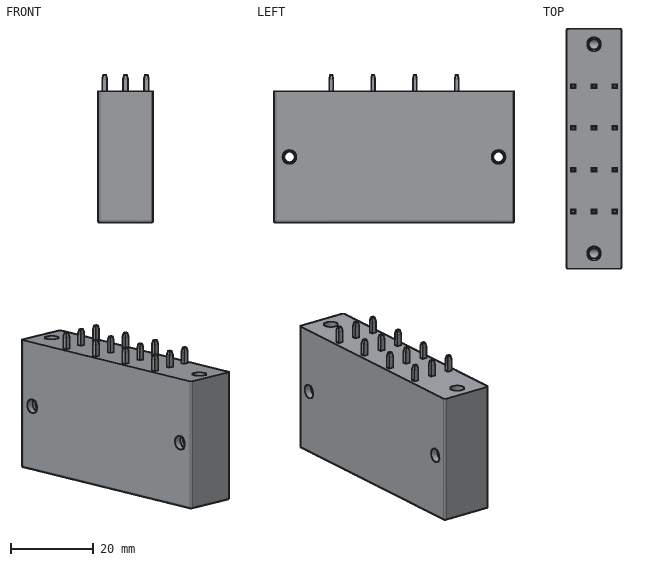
import cadquery as cq

body_width = 13.4
body_length = 58.4
overall_height = 36.0
pin_height = 4.0
body_height = overall_height - pin_height
edge_radius = 0.45

pin_columns = 3
pin_rows = 4
pin_pitch_x = 5.1
pin_pitch_y = 2 * pin_pitch_x
pin_width = 1.2
pin_thickness = 1.0
tip_height = 1.0
tip_width = 0.7
tip_thickness = 0.6

hole_spacing = 5 * pin_pitch_y
hole_diameter = 2.5
hole_mouth_diameter = 3.4
hole_mouth_depth = 1.85
cross_hole_height = body_height / 2


def make_body():
    """Block with rounded vertical and bottom edges and a sharp top rim."""
    block = cq.Workplane("XY").box(body_width, body_length, body_height, centered=(True, True, False))
    return block.edges("|Z or <Z").fillet(edge_radius)


def make_pin():
    """Blade standing on Z = 0 with its tip tapering on all four sides."""
    shank_height = pin_height - tip_height
    shank = cq.Workplane("XY").box(pin_width, pin_thickness, shank_height, centered=(True, True, False))
    tip = (
        cq.Workplane("XY", origin=(0, 0, shank_height))
        .rect(pin_width, pin_thickness)
        .workplane(offset=tip_height)
        .rect(tip_width, tip_thickness)
        .loft(ruled=True, combine=True)
    )
    return shank.union(tip)


def make_drill(length):
    """Stepped cutter along +Z from Z = 0: a narrow bore, a conical shoulder and a wider mouth."""
    bore_radius = hole_diameter / 2
    mouth_radius = hole_mouth_diameter / 2
    shoulder_top = length - hole_mouth_depth
    shoulder_bottom = shoulder_top - (mouth_radius - bore_radius)
    return (
        cq.Workplane("XZ")
        .polyline(
            [
                (0, 0),
                (bore_radius, 0),
                (bore_radius, shoulder_bottom),
                (mouth_radius, shoulder_top),
                (mouth_radius, length),
                (0, length),
            ]
        )
        .close()
        .revolve(360, (0, 0, 0), (0, 1, 0))
    )


def make_mounting_cutter():
    """T-shaped cutter: a cross hole along X and a branch up to the top face."""
    half_cross = make_drill(body_width / 2)
    cutter = make_drill(body_height - cross_hole_height)
    for angle in (90, -90):
        cutter = cutter.union(half_cross.rotate((0, 0, 0), (0, 1, 0), angle))
    return cutter


result = make_body()

mounting_cutter = make_mounting_cutter()
for end in (-1, 1):
    result = result.cut(mounting_cutter.translate((0, end * hole_spacing / 2, cross_hole_height)))

pin = make_pin()
for column in range(pin_columns):
    pin_x = (column - (pin_columns - 1) / 2) * pin_pitch_x
    for row in range(pin_rows):
        pin_y = (row - (pin_rows - 1) / 2) * pin_pitch_y
        result = result.union(pin.translate((pin_x, pin_y, body_height)))